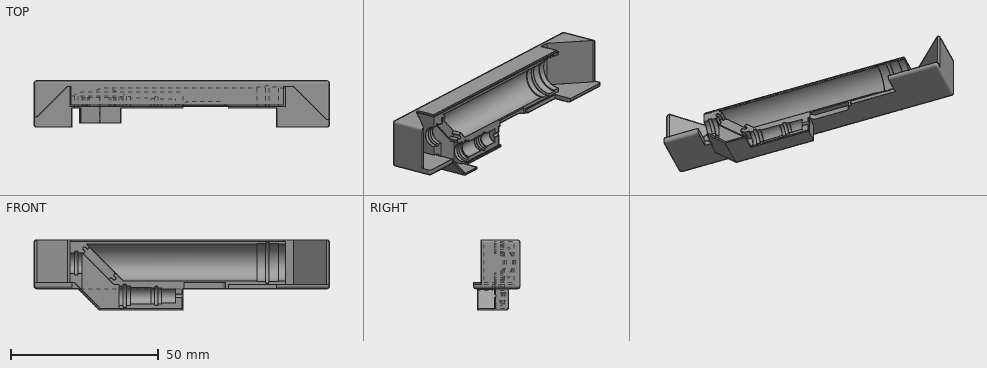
import cadquery as cq
import math


length = 99.9
body_height = 16.6
back_y = 8.7
front_y = -7.1
edge_radius = 1.0

pocket_back_y = 6.7
left_plate_thickness = 2.1
left_plate_end = 12.8
left_cheek_front_y = -3.6
right_plate_thickness = 1.5
right_plate_start = 82.0
right_cheek_front_y = -4.5
cheek_land = 1.0

block_left = 12.1
block_right = 85.0
rim = 0.6
step_depth = 0.4
left_step_width = 0.4
right_step_width = 0.6
lip_height = 0.6

lower_depth = 7.2
lower_back_y = 4.8
lower_right = 50.5
lower_step_width = 0.4
lower_corner_x = 22.1
flange_left = 15.4
flange_right = 29.4
flange_front_y = -5.7

cavity_left = 16.3
cavity_right = 28.7
cavity_top = 1.5
cavity_depth = 3.5
wall_tilt = -45
window_x = 22.1
window_z = 8.6
window_thickness = 3.1
window_depth = 3.0
pane_thickness = 1.1
pane_length = 15.4

cord_radius = 0.6
main_axis_z = 8.9
main_radius = 6.2
seat_radius = 6.5
seat_start = 75.3
seat_end = 82.6
main_groove_x = 78.9
port_axis_z = 8.7
port_radius = 3.5
port_groove_x = 14.3
lower_axis_z = -2.4
lower_steps = [(32.6, 3.3), (39.6, 2.8), (43.1, 2.7), (47.9, 2.4)]
lower_grooves = [(30.7, 3.4), (41.4, 2.7)]
wire_hole_radius = 0.6

latch_left = 50.7
latch_right = 64.7
latch_height = 2.1
latch_depth = 1.6
latch_radius = 1.5
right_lip_start = 65.7


def block(x0, x1, y0, y1, z0, z1):
    """Box given by its limits."""
    return cq.Workplane("XY").box(x1 - x0, y1 - y0, z1 - z0, centered=False).translate((x0, y0, z0))


def plate_xz(points, y0, y1):
    """Outline in X and Z, extruded from y0 to y1."""
    return cq.Workplane("XZ", origin=(0, y1, 0)).polyline(points).close().extrude(y1 - y0)


def bore(x0, x1, axis_z, radius):
    """Cylinder along X, centred on the split plane."""
    return cq.Workplane("YZ", origin=(x0, 0, axis_z)).circle(radius).extrude(x1 - x0)


def cord_groove(x, axis_z, radius):
    """Ring that cuts a round O-ring groove in a bore along X."""
    ring = cq.Solid.makeTorus(radius, cord_radius, cq.Vector(x, 0, axis_z), cq.Vector(1, 0, 0))
    return cq.Workplane(obj=ring)


def end_pocket(points, floor_z):
    """Open pocket above a base plate, from an outline in X and Y."""
    return cq.Workplane("XY", origin=(0, 0, floor_z)).polyline(points).close().extrude(body_height)


body = block(0, length, front_y, back_y, 0, body_height).edges().fillet(edge_radius)

left_run = pocket_back_y - left_cheek_front_y
body = body.cut(end_pocket([
    (0, front_y),
    (0, left_cheek_front_y),
    (cheek_land, left_cheek_front_y),
    (cheek_land + left_run, pocket_back_y),
    (block_left, pocket_back_y),
    (block_left, front_y),
], left_plate_thickness))

right_run = pocket_back_y - right_cheek_front_y
body = body.cut(end_pocket([
    (length, front_y),
    (length, right_cheek_front_y),
    (length - cheek_land, right_cheek_front_y),
    (length - cheek_land - right_run, pocket_back_y),
    (block_right, pocket_back_y),
    (block_right, front_y),
], right_plate_thickness))

body = body.cut(block(left_plate_end, right_plate_start, front_y, 0, 0, body_height))
body = body.cut(block(block_left, left_plate_end, front_y, 0, left_plate_thickness, body_height))
body = body.cut(block(right_plate_start, block_right, front_y, 0, right_plate_thickness, body_height))

rim_z = body_height - rim
body = body.cut(block(block_left, block_right, 0, step_depth, rim_z, body_height))
body = body.cut(block(block_left, block_left + left_step_width, 0, pocket_back_y, rim_z, body_height))
body = body.cut(block(block_right - right_step_width, block_right, 0, pocket_back_y, rim_z, body_height))

slope_sum = lower_corner_x - lower_depth
rim_shift = rim / math.sqrt(2)
inner_slope_sum = slope_sum + 2 * rim_shift
inner_bottom = rim - lower_depth
lower_top = cavity_top
lower = plate_xz([
    (slope_sum - lower_top, lower_top),
    (lower_corner_x, -lower_depth),
    (lower_right, -lower_depth),
    (lower_right, lower_top),
], 0, lower_back_y)
lower = lower.faces(">Y").edges("not >Z").fillet(edge_radius)
body = body.union(lower)

step_left = lower_right - lower_step_width
body = body.cut(block(step_left, lower_right, 0, step_depth, inner_bottom, 0))

lip = plate_xz([
    (left_plate_end, 0),
    (slope_sum, 0),
    (lower_corner_x, -lower_depth),
    (lower_right, -lower_depth),
    (lower_right, inner_bottom),
    (inner_slope_sum - inner_bottom, inner_bottom),
    (inner_slope_sum - left_plate_thickness, left_plate_thickness),
    (left_plate_end, left_plate_thickness),
], -lip_height, 0)
flange = plate_xz([
    (flange_left, slope_sum - flange_left),
    (lower_corner_x, -lower_depth),
    (flange_right, -lower_depth),
    (flange_right, inner_bottom),
    (inner_slope_sum - inner_bottom, inner_bottom),
    (flange_left + rim_shift, slope_sum - flange_left + rim_shift),
], flange_front_y, 0)
right_lip = block(right_lip_start, right_plate_start, -lip_height, 0, 0, right_plate_thickness)
body = body.union(lip).union(flange).union(right_lip)

half_wall = window_thickness / math.sqrt(2)
cavity_slope_sum = window_x + window_z - half_wall
body = body.cut(plate_xz([
    (cavity_left, cavity_slope_sum - cavity_left),
    (cavity_slope_sum - cavity_top, cavity_top),
    (cavity_right, cavity_top),
    (cavity_right, inner_bottom),
    (inner_slope_sum - inner_bottom, inner_bottom),
    (cavity_left, inner_slope_sum - cavity_left),
], 0, cavity_depth))

bore_slope_sum = window_x + window_z + half_wall
main_bore = bore(block_left, block_right, main_axis_z, main_radius)
main_bore = main_bore.intersect(plate_xz([
    (bore_slope_sum - body_height, body_height),
    (bore_slope_sum, 0),
    (block_right, 0),
    (block_right, body_height),
], 0, back_y))
body = body.cut(main_bore)
body = body.cut(bore(seat_start, seat_end, main_axis_z, seat_radius))
body = body.cut(cord_groove(main_groove_x, main_axis_z, seat_radius))

window_plane = cq.Workplane("XZ", origin=(window_x, window_depth, window_z))
window_plane = window_plane.transformed(rotate=(0, 0, wall_tilt))
body = body.cut(window_plane.rect(2 * main_radius, window_thickness).extrude(window_depth))
body = body.cut(window_plane.slot2D(pane_length, pane_thickness).extrude(window_depth))

body = body.cut(bore(block_left, cavity_left, port_axis_z, port_radius))
body = body.cut(cord_groove(port_groove_x, port_axis_z, port_radius))

step_start = cavity_right
for step_end, step_radius in lower_steps:
    body = body.cut(bore(step_start, step_end, lower_axis_z, step_radius))
    step_start = step_end
for groove_x, groove_radius in lower_grooves:
    body = body.cut(cord_groove(groove_x, lower_axis_z, groove_radius))
body = body.cut(bore(step_start, lower_right, lower_axis_z, wire_hole_radius))

latch = block(latch_left, latch_right, 0, latch_depth, 0, latch_height)
body = body.cut(latch.edges("|Z and >Y").fillet(latch_radius))

result = body